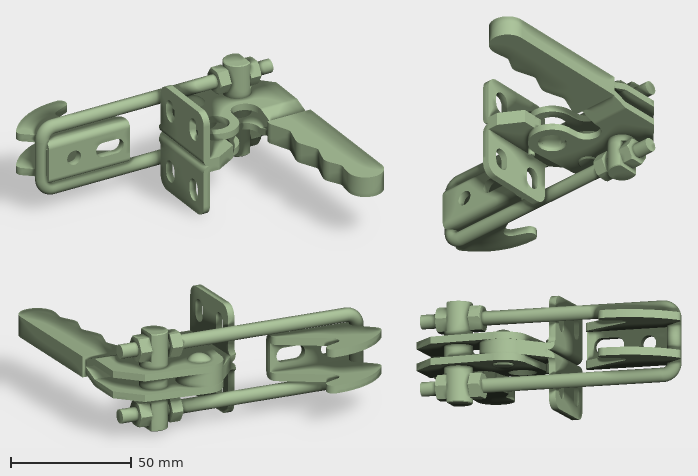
import cadquery as cq
import math


sheet = 3.0
through = 60.3
rivet_centre = (-1.7, -20.2)
rivet_radius = 4.3
rivet_head_radius = 5.1
rivet_head_height = 2.5
rivet_tail_height = 0.7
rivet_tail_chamfer = 0.5

lobe_radius = 10.1
lever_hole_centre = (18.9, -21.9)
lever_hole_radius = 6.0
finger_slot_radius = 6.1
finger_slot_setback = 4.3
lever_front_corner = (-9.6, 8.9)
lever_back_corner = (0.7, 18.7)
lever_end_top = 18.3
lever_end_bottom = 0.5
lever_dip_start = 24.1
bend_x = 18.1
bend_radius = 3.4
tang_length = 24.1
tang_bottom = 4.8
tang_top = 16.9

grip_start = 26.6
grip_top = 19.8
grip_half_height = 4.6
grip_end_radius = 7.8
grip_end_x = 92.1
grip_corner_y = -1.1
finger_ridges = [(28.2, -1.8), (49.2, -0.4), (69.0, 1.0)]
finger_valleys = [(38.7, 2.7), (58.7, 4.2), (76.3, 5.1)]
ridge_radius = 5.5
valley_radius = 2.8
first_ridge_radius = 3.5

base_round_radius = 9.9
base_front_y = -40.6
base_back_y = base_front_y + sheet
base_left_x = 6.1
base_right_x = 41.1
base_half_height = 24.0
base_corner_radius = 5.1
web_top = (35.1, -22.8)
web_right_y = -32.9
web_left_x = 3.6
bend_left_x = 4.8
slot_width = 6.6
base_slot_length = 9.9
base_slot_x = (14.0, 33.0)
base_slot_z = 14.1
stop_pin_y = -33.6
stop_pin_radius = 1.5
stop_pin_half_length = 7.1
stop_pin_chamfer = 0.2

barrel_radius = 6.0
barrel_half_length = 21.3
barrel_chamfer = 0.4
barrel_flat_y = 3.5
barrel_flat_start = 9.0
rod_radius = 3.0
rod_z = 14.2
rod_end_y = 15.9
rod_bow_y = -94.6
rod_bend_radius = 5.0
rod_tilt = 0.37
nut_width = 10.2
nut_thickness = 5.1
nut_chamfer = 0.5

hook_sheet = 3.4
hook_half_height = 9.6
hook_web_x = 6.1
hook_top_y = -55.4
hook_bottom_y = -94.7
hook_bend_radius = 2.7
hook_tip_centre = (-22.8, -72.2)
hook_throat_centre = (-14.8, -75.6)
hook_round = 3.0
hook_toe_centre = (-9.8, -97.7)
throat_angle = 60.0
toe_angle = 49.0
flange_foot_y = -93.3
flange_foot_x = 3.7
flange_relief_x = 5.0
hook_top_rounding = 3.0
hook_slot_y = -65.2
hook_slot_length = 13.3
hook_hole_y = -82.5


def polar(centre, radius, degrees):
    """Point on a circle at the given angle."""
    angle = math.radians(degrees)
    return (centre[0] + radius * math.cos(angle), centre[1] + radius * math.sin(angle))


def heading(start, end):
    """Direction from start to end in degrees."""
    return math.degrees(math.atan2(end[1] - start[1], end[0] - start[0]))


def tangent_angle(point, centre, radius, side):
    """Angle on the circle where the tangent from an outside point touches it."""
    spread = math.degrees(math.acos(radius / math.dist(point, centre)))
    return heading(centre, point) + side * spread


def rivet_hole():
    return cq.Workplane("XY").center(*rivet_centre).circle(rivet_radius).extrude(through, both=True)


def lever_hole():
    return cq.Workplane("XY").center(*lever_hole_centre).circle(lever_hole_radius).extrude(through, both=True)


def make_lever():
    """Two flat plates with necks that bend inward and join in a tang inside the grip."""
    along = heading(rivet_centre, lever_hole_centre)
    up = along + 90
    down = along - 90
    slot_centre = polar(lever_hole_centre, lobe_radius + finger_slot_radius, up)
    slot_centre = polar(slot_centre, -finger_slot_setback, along)
    slot_top = slot_centre[1] + finger_slot_radius
    front_angle = tangent_angle(lever_front_corner, rivet_centre, lobe_radius, 1)

    neck_start = slot_centre[0]
    top_slope = (lever_end_top - lever_back_corner[1]) / (grip_start - lever_back_corner[0])
    neck_start_top = lever_back_corner[1] + top_slope * (neck_start - lever_back_corner[0])
    plate = (
        cq.Workplane("XY")
        .moveTo(*lever_front_corner)
        .lineTo(*lever_back_corner)
        .lineTo(neck_start, neck_start_top)
        .lineTo(neck_start, slot_top)
        .threePointArc(polar(slot_centre, finger_slot_radius, 180), polar(slot_centre, finger_slot_radius, down))
        .lineTo(*polar(lever_hole_centre, lobe_radius, up))
        .threePointArc(polar(lever_hole_centre, lobe_radius, along), polar(lever_hole_centre, lobe_radius, down))
        .lineTo(*polar(rivet_centre, lobe_radius, down))
        .threePointArc(polar(rivet_centre, lobe_radius, 225), polar(rivet_centre, lobe_radius, front_angle))
        .close()
        .extrude(sheet)
        .translate((0, 0, sheet))
    )

    tang_end = grip_start + tang_length
    neck_outline = (
        cq.Workplane("XY")
        .polyline([
            (neck_start, neck_start_top), (grip_start, lever_end_top), (grip_start, tang_top),
            (tang_end, tang_top), (tang_end, tang_bottom), (grip_start, tang_bottom),
            (grip_start, lever_end_bottom), (lever_dip_start, slot_top), (neck_start, slot_top),
        ])
        .close()
        .extrude(2 * sheet)
    )
    neck_section = (
        cq.Workplane("XZ")
        .polyline([
            (neck_start, sheet), (neck_start, 2 * sheet), (bend_x, 2 * sheet), (grip_start, sheet),
            (tang_end, sheet), (tang_end, 0), (grip_start, 0), (bend_x, sheet),
        ])
        .close()
        .extrude(-2 * lever_end_top)
        .edges(cq.selectors.NearestToPointSelector((bend_x, lever_end_top, 2 * sheet)))
        .fillet(bend_radius)
    )
    half = plate.union(neck_outline.intersect(neck_section))
    barrel_hole = cq.Workplane("XY").circle(barrel_radius).extrude(through, both=True)
    return half.union(half.mirror("XY")).cut(barrel_hole).cut(rivet_hole()).cut(lever_hole())


def make_grip(lever):
    """Handle cover with three finger ridges, recessed for the lever's tang."""
    end_centre = (grip_end_x - grip_end_radius, grip_top - grip_end_radius)
    last_valley = finger_valleys[-1]
    end_angle = tangent_angle(last_valley, end_centre, grip_end_radius, 1)
    outline = cq.Workplane("XY").moveTo(grip_start, grip_corner_y)
    for ridge, valley in zip(finger_ridges, finger_valleys):
        outline = outline.lineTo(*ridge).lineTo(*valley)
    grip = (
        outline.lineTo(*polar(end_centre, grip_end_radius, end_angle))
        .threePointArc(polar(end_centre, grip_end_radius, 0), polar(end_centre, grip_end_radius, 90))
        .lineTo(grip_start, grip_top)
        .close()
        .extrude(grip_half_height, both=True)
    )
    ridge_radii = [first_ridge_radius] + [ridge_radius] * (len(finger_ridges) - 1)
    valley_radii = [valley_radius] * len(finger_valleys)
    for corner, radius in zip(finger_ridges + finger_valleys, ridge_radii + valley_radii):
        edge = cq.selectors.NearestToPointSelector((*corner, 0))
        grip = grip.edges("|Z").edges(edge).fillet(radius)
    return grip.cut(lever)


def make_bracket():
    """Upper half of the base: a web on Z = 0 bent into a slotted mounting flange."""
    left_angle = tangent_angle((web_left_x, base_back_y), rivet_centre, base_round_radius, -1)
    web = (
        cq.Workplane("XY")
        .moveTo(*polar(rivet_centre, base_round_radius, left_angle))
        .lineTo(web_left_x, base_back_y)
        .lineTo(web_left_x, base_front_y)
        .lineTo(base_right_x, base_front_y)
        .lineTo(base_right_x, web_right_y)
        .lineTo(*web_top)
        .lineTo(rivet_centre[0], web_top[1])
        .close()
        .extrude(sheet)
    )
    web_round = cq.Workplane("XY").center(*rivet_centre).circle(base_round_radius).extrude(sheet)
    flange_blend_x = base_left_x - sheet
    flange = (
        cq.Workplane("XZ", origin=(0, base_back_y, 0))
        .moveTo(base_right_x, 0)
        .lineTo(base_right_x, base_half_height)
        .lineTo(base_left_x, base_half_height)
        .lineTo(base_left_x, 2 * sheet)
        .radiusArc((flange_blend_x, sheet), sheet)
        .lineTo(flange_blend_x, 0)
        .close()
        .extrude(sheet)
        .edges("|Y and >Z").fillet(base_corner_radius)
    )
    slots = (
        cq.Workplane("XZ")
        .pushPoints([(x, base_slot_z) for x in base_slot_x])
        .slot2D(base_slot_length, slot_width, 90)
        .extrude(through)
    )
    bend_corner = cq.Workplane("XY").box(base_right_x, sheet, sheet, centered=False)
    bend_corner = bend_corner.translate((0, base_front_y, 0))
    bend = cq.Workplane("YZ").center(base_back_y, sheet).circle(sheet).extrude(base_right_x)
    slanted_end = (
        cq.Workplane("XY")
        .polyline([
            (0, base_back_y), (web_left_x, base_back_y), (bend_left_x, base_front_y), (0, base_front_y),
        ])
        .close()
        .extrude(through)
    )
    bracket = web.union(web_round).union(flange).cut(slots)
    return bracket.cut(bend_corner.cut(bend)).cut(slanted_end)


def make_base():
    """Two brackets back to back, with the lever's stop pin across them."""
    bracket = make_bracket()
    stop_pin = (
        cq.Workplane("XY").cylinder(2 * stop_pin_half_length, stop_pin_radius)
        .faces("|Z").chamfer(stop_pin_chamfer)
        .translate((lever_hole_centre[0], stop_pin_y, 0))
    )
    base = bracket.union(bracket.mirror("XY"))
    return base.cut(lever_hole()).cut(rivet_hole()).union(stop_pin)


def make_rivet():
    """Pivot of the lever: a shank with a domed head and a short chamfered tail."""
    stack = 2 * sheet
    shank = (
        cq.Workplane("XY").circle(rivet_radius).extrude(2 * stack + rivet_tail_height)
        .faces("<Z").chamfer(rivet_tail_chamfer)
        .translate((0, 0, -stack - rivet_tail_height))
    )
    dome_radius = (rivet_head_radius**2 + rivet_head_height**2) / (2 * rivet_head_height)
    dome_centre_z = stack + rivet_head_height - dome_radius
    dome = cq.Workplane("XY").sphere(dome_radius).translate((0, 0, dome_centre_z))
    above_lever = cq.Workplane("XY").circle(rivet_head_radius).extrude(rivet_head_height)
    head = dome.intersect(above_lever.translate((0, 0, stack)))
    return shank.union(head).translate((*rivet_centre, 0))


def make_rod():
    """Bent rod of the U-bolt, slightly tilted about Z."""
    bend_start = rod_bow_y + rod_bend_radius
    bar_end = rod_z - rod_bend_radius
    inset = rod_bend_radius * (1 - math.sqrt(0.5))
    path = (
        cq.Workplane("YZ")
        .moveTo(rod_end_y, rod_z)
        .lineTo(bend_start, rod_z)
        .threePointArc((rod_bow_y + inset, rod_z - inset), (rod_bow_y, bar_end))
        .lineTo(rod_bow_y, -bar_end)
        .threePointArc((rod_bow_y + inset, -rod_z + inset), (bend_start, -rod_z))
        .lineTo(rod_end_y, -rod_z)
    )
    profile = cq.Workplane("XZ", origin=(0, rod_end_y, rod_z)).circle(rod_radius)
    return profile.sweep(path).rotate((0, 0, 0), (0, 0, 1), rod_tilt)


def make_nut():
    """Hexagon nut on the Y axis from Y = 0 upward, chamfered on its far side."""
    corner_diameter = nut_width / math.cos(math.radians(30))
    hexagon = cq.Workplane("XZ").polygon(6, corner_diameter).extrude(-nut_thickness)
    envelope = (
        cq.Workplane("XZ").circle(corner_diameter / 2).extrude(-nut_thickness)
        .faces(">Y").chamfer(nut_chamfer)
    )
    return hexagon.intersect(envelope)


def make_u_bolt(rod):
    """Rod with a nut on each side of the barrel on both legs."""
    u_bolt = rod
    back_nut = make_nut().translate((0, barrel_flat_y, 0))
    front_nut = make_nut().mirror("XZ").translate((0, -barrel_radius, 0))
    for z in (-rod_z, rod_z):
        u_bolt = u_bolt.union(back_nut.translate((0, 0, z))).union(front_nut.translate((0, 0, z)))
    return u_bolt


def make_barrel(rod):
    """Trunnion pin with flats for the back nuts and holes for the rod."""
    barrel = (
        cq.Workplane("XY").cylinder(2 * barrel_half_length, barrel_radius)
        .faces("|Z").chamfer(barrel_chamfer)
    )
    flat = cq.Workplane("XY").box(
        2 * barrel_radius, barrel_radius, barrel_half_length, centered=(True, False, False)
    ).translate((0, barrel_flat_y, barrel_flat_start))
    return barrel.cut(flat).cut(flat.mirror("XY")).cut(rod)


def make_hook(rod):
    """U-shaped catch: two hooked flanges on a slotted web, with a seat for the rod's cross bar."""
    dx = hook_toe_centre[0] - hook_tip_centre[0]
    dy = hook_toe_centre[1] - hook_tip_centre[1]
    offset = (dx**2 + dy**2) / (2 * dx)
    outer_centre = (hook_tip_centre[0] + offset, hook_tip_centre[1])
    outer_radius = offset + hook_round
    toe_start = heading(outer_centre, hook_toe_centre)
    outer_middle = polar(outer_centre, outer_radius, (toe_start % 360 + 180) / 2)

    toe_end = toe_angle - 90
    toe_tangent = polar(hook_toe_centre, hook_round, toe_end)
    foot_x = toe_tangent[0] + (flange_foot_y - toe_tangent[1]) / math.tan(math.radians(toe_angle))
    ramp_start = polar(hook_throat_centre, hook_round, throat_angle - 90)
    ramp_top_x = ramp_start[0] + (hook_top_y - ramp_start[1]) / math.tan(math.radians(throat_angle))

    middle = tuple((a + b) / 2 for a, b in zip(hook_tip_centre, hook_throat_centre))
    tip_end = tangent_angle(middle, hook_tip_centre, hook_round, 1)
    flange = (
        cq.Workplane("XY")
        .moveTo(*polar(hook_tip_centre, hook_round, 180))
        .threePointArc(outer_middle, polar(hook_toe_centre, hook_round, toe_start))
        .threePointArc(polar(hook_toe_centre, hook_round, (toe_start + toe_end) / 2), toe_tangent)
        .lineTo(foot_x, flange_foot_y)
        .lineTo(flange_foot_x, flange_foot_y)
        .lineTo(flange_relief_x, hook_bottom_y)
        .lineTo(hook_web_x, hook_bottom_y)
        .lineTo(hook_web_x, hook_top_y)
        .lineTo(ramp_top_x, hook_top_y)
        .lineTo(*ramp_start)
        .threePointArc(polar(hook_throat_centre, hook_round, 270),
                       polar(hook_throat_centre, hook_round, tip_end + 180))
        .lineTo(*polar(hook_tip_centre, hook_round, tip_end))
        .threePointArc(polar(hook_tip_centre, hook_round, 90), polar(hook_tip_centre, hook_round, 180))
        .close()
        .extrude(hook_sheet)
        .translate((0, 0, hook_half_height - hook_sheet))
    )
    top_corner = cq.selectors.NearestToPointSelector((ramp_top_x, hook_top_y, hook_half_height))
    flange = flange.edges("|Z").edges(top_corner).fillet(hook_top_rounding)
    inner_height = 2 * (hook_half_height - hook_sheet)
    web = cq.Workplane("XY").box(
        hook_sheet, hook_top_y - hook_bottom_y, inner_height, centered=(False, False, True)
    ).translate((hook_web_x - hook_sheet, hook_bottom_y, 0))
    hook = flange.union(flange.mirror("XY")).union(web)
    hook = hook.edges("|Y and >X").fillet(hook_bend_radius)
    openings = (
        cq.Workplane("YZ").center(hook_slot_y, 0).slot2D(hook_slot_length, slot_width).extrude(through)
        .union(cq.Workplane("YZ").center(hook_hole_y, 0).circle(slot_width / 2).extrude(through))
    )
    return hook.cut(openings).cut(rod)


lever = make_lever()
grip = make_grip(lever)
base = make_base()
rivet = make_rivet()
rod = make_rod()
u_bolt = make_u_bolt(rod)
barrel = make_barrel(rod)
hook = make_hook(rod)

result = cq.Compound.makeCompound([
    lever.val(), grip.val(), base.val(), rivet.val(), u_bolt.val(), barrel.val(), hook.val(),
])